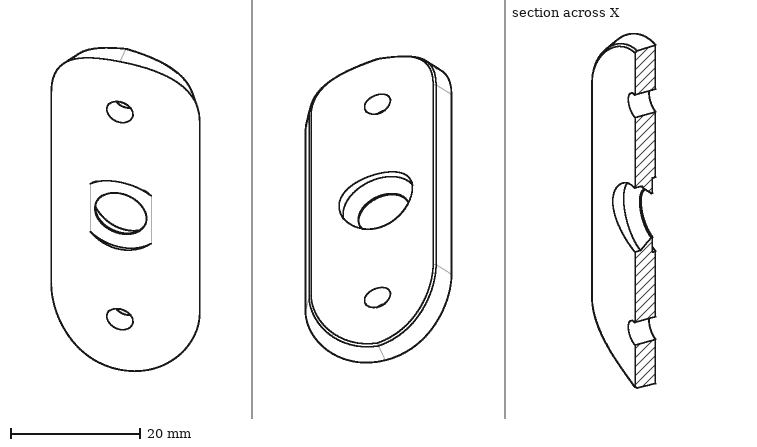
import cadquery as cq
import math

LENGTH = 64.0
WIDTH = 24.0
OUTER_RADIUS = 24.3
THICKNESS = 3.6
EDGE_BEVEL_ON_WALL = 0.4
EDGE_BEVEL_ON_FACE = 0.25

CENTRE_HOLE_DIAMETER = 8.3
CAVITY_DIAMETER = 12.0
CENTRE_HOLE_LIP = 0.25
SCREW_HOLE_DIAMETER = 4.2
SCREW_HOLE_OFFSET = 21.5
RECESS_RADIUS = 7.0
RECESS_DEPTH = 0.5

INNER_RADIUS = OUTER_RADIUS - THICKNESS
HALF_ANGLE = math.degrees(math.asin(WIDTH / 2 / OUTER_RADIUS))
END_RADIUS = WIDTH / 2
STRAIGHT_HALF = LENGTH / 2 - END_RADIUS
RECESS_FLOOR_Y = RECESS_DEPTH - OUTER_RADIUS
REACH = 2 * OUTER_RADIUS


def on_arc(radius, angle):
    """Point at a given radius, with the angle measured from -Y towards +X."""
    turn = math.radians(angle)
    return (radius * math.sin(turn), -radius * math.cos(turn))


def curved_plate():
    """Cylindrical shell segment with radial sides and square ends."""
    return (
        cq.Workplane("XY", origin=(0, 0, -LENGTH / 2))
        .moveTo(*on_arc(OUTER_RADIUS, -HALF_ANGLE))
        .threePointArc(on_arc(OUTER_RADIUS, 0), on_arc(OUTER_RADIUS, HALF_ANGLE))
        .lineTo(*on_arc(INNER_RADIUS, HALF_ANGLE))
        .threePointArc(on_arc(INNER_RADIUS, 0), on_arc(INNER_RADIUS, -HALF_ANGLE))
        .close()
        .extrude(LENGTH)
    )


def rounded_side(side):
    """Block bounded by one radial side, its two corners rounded along that side's radial direction."""
    block = (
        cq.Workplane("XZ")
        .moveTo(-OUTER_RADIUS, -LENGTH / 2)
        .lineTo(-END_RADIUS, -LENGTH / 2)
        .radiusArc((0, -STRAIGHT_HALF), -END_RADIUS)
        .lineTo(0, STRAIGHT_HALF)
        .radiusArc((-END_RADIUS, LENGTH / 2), -END_RADIUS)
        .lineTo(-REACH, LENGTH / 2)
        .lineTo(-REACH, -LENGTH / 2)
        .close()
        .extrude(REACH)
        .rotate((0, 0, 0), (0, 0, 1), HALF_ANGLE)
    )
    return block if side > 0 else block.mirror("YZ")


def round_cutter(diameter, height):
    """Cylinder along Y crossing the whole plate."""
    return (
        cq.Workplane("XZ", origin=(0, 0, height))
        .circle(diameter / 2)
        .extrude(REACH)
    )


def flat_recess():
    """Flat-bottomed round recess that runs out through the convex face at both sides."""
    return (
        cq.Workplane("XZ", origin=(0, RECESS_FLOOR_Y, 0))
        .circle(RECESS_RADIUS)
        .extrude(OUTER_RADIUS)
    )


def centre_cavity():
    """Round cavity open to the concave side, narrowing to the centre hole through a 45 degree cone."""
    lip_y = RECESS_FLOOR_Y + CENTRE_HOLE_LIP
    hole_radius = CENTRE_HOLE_DIAMETER / 2
    cavity_radius = CAVITY_DIAMETER / 2
    cone_depth = cavity_radius - hole_radius
    return (
        cq.Workplane("XY")
        .moveTo(0, lip_y)
        .lineTo(hole_radius, lip_y)
        .lineTo(cavity_radius, lip_y + cone_depth)
        .lineTo(cavity_radius, 0)
        .lineTo(0, 0)
        .close()
        .revolve(360, (0, 0, 0), (0, 1, 0))
    )


plate = curved_plate().intersect(rounded_side(1)).intersect(rounded_side(-1))

concave_face = cq.selectors.NearestToPointSelector((0, -INNER_RADIUS, 0))
plate = plate.faces(concave_face).chamfer(EDGE_BEVEL_ON_WALL, EDGE_BEVEL_ON_FACE)

plate = plate.cut(flat_recess())
plate = plate.cut(round_cutter(CENTRE_HOLE_DIAMETER, 0))
plate = plate.cut(centre_cavity())
for height in (-SCREW_HOLE_OFFSET, SCREW_HOLE_OFFSET):
    plate = plate.cut(round_cutter(SCREW_HOLE_DIAMETER, height))

result = plate